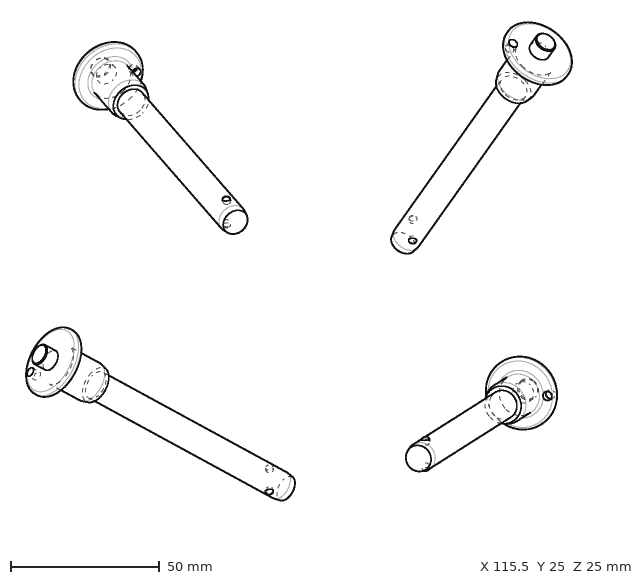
import cadquery as cq

total_length = 115.5
button_length = 5.3
flange_thickness = 3.1
hub_length = 18.0
hub_taper_length = 2.8
tip_taper_length = 2.8

button_radius = 3.7
flange_radius = 12.5
hub_radius = 7.2
hub_end_radius = 6.5
shank_radius = 5.0
tip_radius = 4.5

button_chamfer = 0.3
flange_fillet = 1.0
hub_root_fillet = 1.0

lanyard_hole_diameter = 3.1
lanyard_hole_offset = 9.7

ball_radius = 1.4
ball_protrusion = 0.9
ball_from_tip = 7.7

button_face_x = -total_length / 2
flange_front_x = button_face_x + button_length
flange_back_x = flange_front_x + flange_thickness
hub_end_x = flange_back_x + hub_length
tip_x = total_length / 2
ball_x = tip_x - ball_from_tip
ball_center_height = shank_radius + ball_protrusion - ball_radius


def revolved_profile():
    """Button, flange, hub and shank turned about the X axis."""
    return (
        cq.Workplane("XY")
        .moveTo(button_face_x, 0)
        .lineTo(button_face_x, button_radius - button_chamfer)
        .lineTo(button_face_x + button_chamfer, button_radius)
        .lineTo(flange_front_x, button_radius)
        .lineTo(flange_front_x, flange_radius - flange_fillet)
        .tangentArcPoint((flange_fillet, flange_fillet))
        .lineTo(flange_back_x - flange_fillet, flange_radius)
        .tangentArcPoint((flange_fillet, -flange_fillet))
        .lineTo(flange_back_x, hub_radius + hub_root_fillet)
        .tangentArcPoint((hub_root_fillet, -hub_root_fillet))
        .lineTo(hub_end_x - hub_taper_length, hub_radius)
        .lineTo(hub_end_x, hub_end_radius)
        .lineTo(hub_end_x, shank_radius)
        .lineTo(tip_x - tip_taper_length, shank_radius)
        .lineTo(tip_x, tip_radius)
        .lineTo(tip_x, 0)
        .close()
        .revolve(360, (0, 0, 0), (1, 0, 0))
    )


def lanyard_hole():
    """Cutter for the hole near the +Y rim of the flange."""
    return (
        cq.Workplane("YZ", origin=(flange_front_x, lanyard_hole_offset, 0))
        .circle(lanyard_hole_diameter / 2)
        .extrude(flange_thickness)
    )


def locking_ball(side):
    """Ball on the +Z (side = 1) or -Z (side = -1) flank of the shank."""
    return cq.Workplane("XY").sphere(ball_radius).translate((ball_x, 0, side * ball_center_height))


balls = [locking_ball(side) for side in (1, -1)]

pin_body = revolved_profile().cut(lanyard_hole())
for ball in balls:
    pin_body = pin_body.cut(ball)

result = cq.Compound.makeCompound([pin_body.val(), *[ball.val() for ball in balls]])